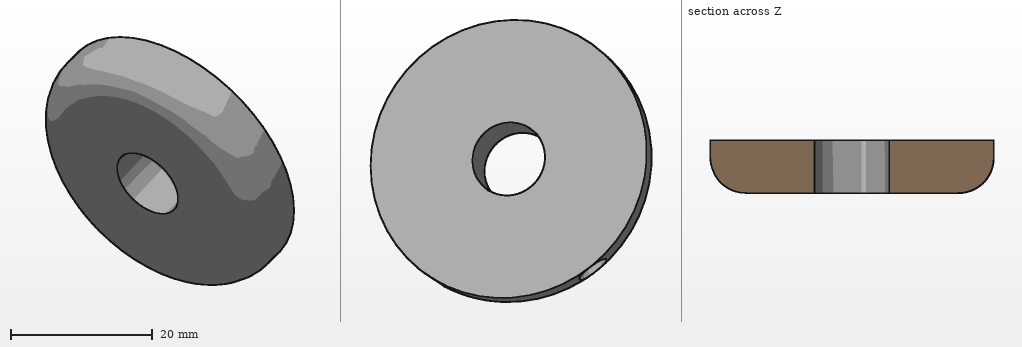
import cadquery as cq

disc_radius = 20.0
thickness = 7.5
edge_radius = 5.0
center_hole_diameter = 10.5

passage_diameter = 4.0
passage_depth = 2.05
passage_half_span = 11.8
passage_top_z = -9.0
passage_end_z = -17.8


def rounded_disc():
    """Disc from the back plane to the front face, with a rounded front rim."""
    disc = cq.Workplane("XZ").circle(disc_radius).extrude(thickness)
    return disc.faces("<Y").edges().fillet(edge_radius)


def center_hole():
    """Cutter for the through hole on the disc axis."""
    return cq.Workplane("XZ").circle(center_hole_diameter / 2).extrude(thickness)


def cord_passage():
    """Round cutter swept along an arch that is vertical at both ends."""
    start = (-passage_half_span, passage_end_z)
    crown = (0, passage_top_z)
    end = (passage_half_span, passage_end_z)
    upward = (0, 1)
    downward = (0, -1)
    path_plane = cq.Workplane("XZ", origin=(0, -passage_depth, 0))
    arch = path_plane.spline([start, crown, end], tangents=[upward, downward])
    section_plane = cq.Workplane("XY", origin=(-passage_half_span, -passage_depth, passage_end_z))
    return section_plane.circle(passage_diameter / 2).sweep(arch)


result = rounded_disc().cut(center_hole()).cut(cord_passage())